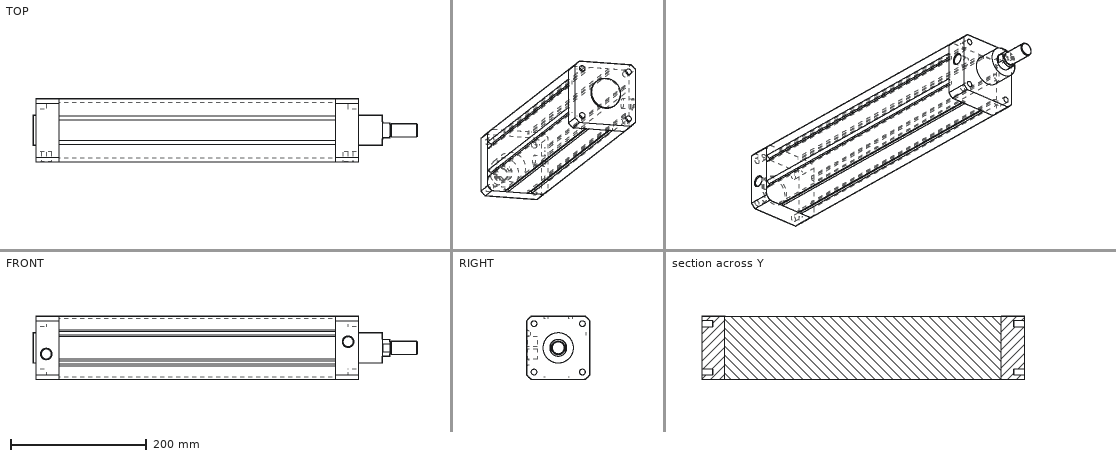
import cadquery as cq
import math


total_length = 568.0
rear_boss_length = 4.0
cap_length = 34.0
tube_length = 409.0
collar_length = 35.0
thread_length = 40.5

side = 94.0
cap_chamfer = 7.0
tube_corner_radius = 11.0

side_groove_inner = 16.5
side_groove_outer = 26.5
side_groove_depth = 5.5
side_groove_wall_angle = 25.0
top_groove_inner = 15.5
top_groove_outer = 21.0
top_groove_depth = 3.5

boss_diameter = 45.0
screw_hole_offset = 36.0
screw_hole_diameter = 8.5
screw_hole_depth = 16.0
port_diameter = 15.0
port_chamfer = 1.0
port_depth = 16.0
port_setback = 15.5
port_height = 9.0

rod_diameter = 25.0
flats_width = 22.0
flats_setback = 1.0
thread_diameter = 20.0
thread_chamfer_length = 1.0
thread_chamfer_depth = 1.0
neck_length = 1.0

half_side = side / 2
rear_cap_start = rear_boss_length
tube_start = rear_cap_start + cap_length
front_cap_start = tube_start + tube_length
front_cap_end = front_cap_start + cap_length
collar_end = front_cap_end + collar_length
thread_start = total_length - thread_length


def cross_section(x):
    """Workplane at x with its local axes along +Y and +Z and its normal along +X."""
    return cq.Workplane("YZ", origin=(x, 0, 0))


def square_bar(x, length):
    return cross_section(x).rect(side, side).extrude(length)


def cap_block(x):
    """Chamfered square block shared by both caps."""
    return square_bar(x, cap_length).edges("|X").chamfer(cap_chamfer)


def screw_holes(x):
    """Four corner screw holes that run from x towards +X."""
    pitch = 2 * screw_hole_offset
    return (
        cross_section(x)
        .rect(pitch, pitch, forConstruction=True)
        .vertices()
        .circle(screw_hole_diameter / 2)
        .extrude(screw_hole_depth)
    )


def port(x, z):
    """Air port with a chamfered mouth, entering from the -Y side."""
    mouth = cq.Workplane("XZ", origin=(x, -half_side, z))
    bore = mouth.circle(port_diameter / 2).extrude(-port_depth)
    countersink = (
        mouth.circle(port_diameter / 2 + port_chamfer)
        .workplane(offset=-port_chamfer)
        .circle(port_diameter / 2)
        .loft()
    )
    return bore.union(countersink)


def make_rear_cap():
    boss = cross_section(0).circle(boss_diameter / 2).extrude(rear_boss_length)
    cap = cap_block(rear_cap_start).union(boss)
    cap = cap.cut(screw_holes(rear_cap_start))
    return cap.cut(port(rear_cap_start + port_setback, -port_height))


def make_front_cap():
    collar = cross_section(front_cap_end).circle(boss_diameter / 2).extrude(collar_length)
    cap = cap_block(front_cap_start).union(collar)
    cap = cap.cut(screw_holes(front_cap_end - screw_hole_depth))
    return cap.cut(port(front_cap_end - port_setback, port_height))


def side_groove():
    """Groove with sloped walls in the -Y face, above the middle."""
    inset = side_groove_depth * math.tan(math.radians(side_groove_wall_angle))
    floor_y = side_groove_depth - half_side
    return (
        cross_section(tube_start)
        .moveTo(-half_side, side_groove_inner)
        .lineTo(floor_y, side_groove_inner + inset)
        .lineTo(floor_y, side_groove_outer - inset)
        .lineTo(-half_side, side_groove_outer)
        .close()
        .extrude(tube_length)
    )


def top_groove():
    """Straight groove in the +Z face, on the +Y side of the middle."""
    width = top_groove_outer - top_groove_inner
    return (
        cross_section(tube_start)
        .center(top_groove_inner + width / 2, half_side - top_groove_depth / 2)
        .rect(width, top_groove_depth)
        .extrude(tube_length)
    )


def make_tube():
    """Rounded square tube with each groove repeated at all four mirrored places."""
    tube = square_bar(tube_start, tube_length).edges("|X").fillet(tube_corner_radius)
    for groove in (side_groove(), top_groove()):
        pair = groove.union(groove.rotate((0, 0, 0), (1, 0, 0), 180))
        tube = tube.cut(pair).cut(pair.mirror("XY"))
    return tube


def make_rod():
    """Rod end with two wrench flats, a short neck and a threaded tip, starting at the collar face."""
    rod_radius = rod_diameter / 2
    thread_radius = thread_diameter / 2
    thread_end_radius = thread_radius - thread_chamfer_depth
    neck_end = thread_start + neck_length
    rod = (
        cq.Workplane("XZ")
        .moveTo(collar_end, 0)
        .lineTo(collar_end, rod_radius)
        .lineTo(thread_start, rod_radius)
        .lineTo(thread_start, thread_end_radius)
        .lineTo(neck_end, thread_end_radius)
        .lineTo(neck_end + thread_chamfer_length, thread_radius)
        .lineTo(total_length - thread_chamfer_length, thread_radius)
        .lineTo(total_length, thread_end_radius)
        .lineTo(total_length, 0)
        .close()
        .revolve(360, (0, 0, 0), (1, 0, 0))
    )
    flats_start = collar_end + flats_setback
    removed_width = rod_radius
    for direction in (1, -1):
        removed_side = (
            cross_section(flats_start)
            .center(direction * (flats_width + removed_width) / 2, 0)
            .rect(removed_width, rod_diameter)
            .extrude(thread_start - flats_start)
        )
        rod = rod.cut(removed_side)
    return rod


rear_cap = make_rear_cap()
tube = make_tube()
front_cap = make_front_cap()
rod = make_rod()

result = cq.Compound.makeCompound([rear_cap.val(), tube.val(), front_cap.val(), rod.val()])